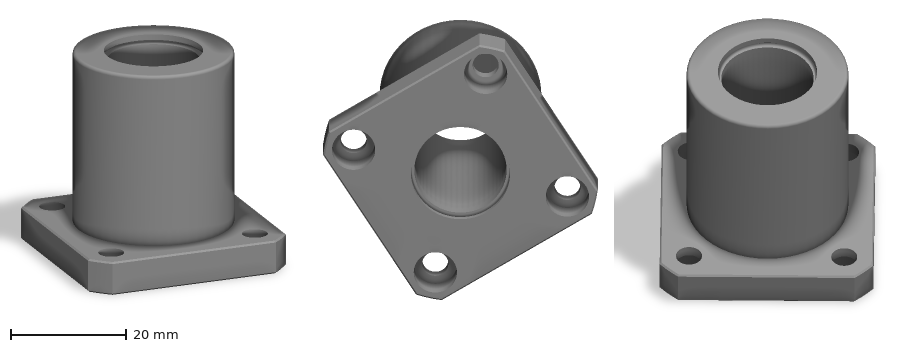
import cadquery as cq

flange_diameter = 48.0
flange_width = 37.0
flange_thickness = 6.0
flange_chamfer = 0.3
total_height = 37.0
body_diameter = 28.0
body_edge_radius = 0.58
bore_diameter = 16.0
mouth_diameter = 17.2
mouth_depth = 1.0
groove_diameter = 18.4
groove_width = 0.58
hole_diameter = 4.5
counterbore_diameter = 7.5
counterbore_depth = 4.1
hole_circle_diameter = 38.0
hole_count = 4


def make_flange():
    """Square turned 45 degrees, with its corners rounded by a circle."""
    square = (
        cq.Workplane("XY")
        .rect(flange_width, flange_width)
        .extrude(flange_thickness)
        .rotate((0, 0, 0), (0, 0, 1), 45)
    )
    disc = cq.Workplane("XY").circle(flange_diameter / 2).extrude(flange_thickness)
    return square.intersect(disc).faces("<Z or >Z").chamfer(flange_chamfer)


def make_body():
    """Cylinder standing on the flange plane, with a rounded top edge."""
    body = cq.Workplane("XY").circle(body_diameter / 2).extrude(total_height)
    return body.faces(">Z").edges().fillet(body_edge_radius)


def cut_bore(part):
    """Through bore with a stepped recess, undercut by a ring groove, at both ends."""
    bore = cq.Workplane("XY").circle(bore_diameter / 2).extrude(total_height)
    mouth = cq.Workplane("XY").circle(mouth_diameter / 2).extrude(mouth_depth)
    groove = (
        cq.Workplane("XY")
        .workplane(offset=mouth_depth)
        .circle(groove_diameter / 2)
        .extrude(groove_width)
    )
    bottom_recess = mouth.union(groove)
    top_recess = bottom_recess.mirror("XY").translate((0, 0, total_height))
    return part.cut(bore).cut(bottom_recess).cut(top_recess)


def cut_mounting_holes(part):
    """Screw holes at the flange corners, counterbored from the underside."""
    def hole_cutters(diameter, depth):
        return (
            cq.Workplane("XY")
            .polarArray(hole_circle_diameter / 2, 0, 360, hole_count)
            .circle(diameter / 2)
            .extrude(depth)
        )

    screw_holes = hole_cutters(hole_diameter, flange_thickness)
    counterbores = hole_cutters(counterbore_diameter, counterbore_depth)
    return part.cut(screw_holes).cut(counterbores)


result = cut_mounting_holes(cut_bore(make_flange().union(make_body())))